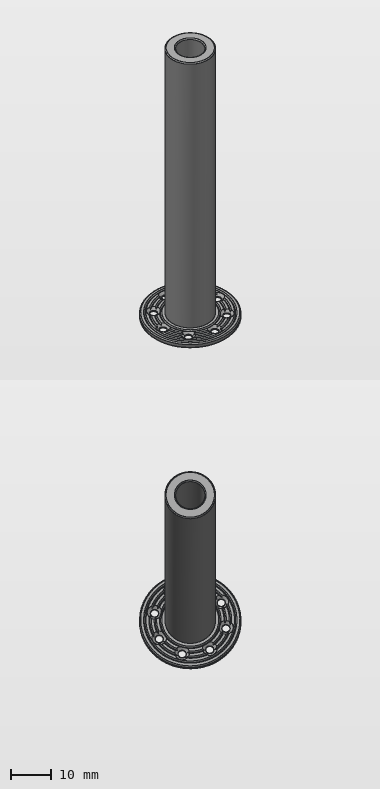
import cadquery as cq
import math

total_height = 84.38
flange_diameter = 25.0
flange_thickness = 1.56
tube_diameter = 12.5
bore_diameter = 7.2

tube_top_chamfer = 0.3
bore_chamfer = 0.3

groove_count = 4
groove_width = 0.6
groove_depth = 0.35
groove_pitch = 1.3

hole_count = 8
hole_diameter = 2.0
countersink_diameter = 3.6
countersink_depth = 0.6
hole_circle_radius = 9.02

flange_radius = flange_diameter / 2
tube_radius = tube_diameter / 2
bore_radius = bore_diameter / 2


def revolve_about_z(profile):
    """Solid of revolution from a closed list of (radius, height) points."""
    return cq.Workplane("XZ").polyline(profile).close().revolve(360, (0, 0), (0, 1))


def make_flange():
    """Round base plate whose rim bevels match the groove walls."""
    face_radius = flange_radius - groove_width / 2
    profile = [
        (0, 0),
        (face_radius, 0),
        (flange_radius, groove_depth),
        (flange_radius, flange_thickness - groove_depth),
        (face_radius, flange_thickness),
        (0, flange_thickness),
    ]
    return revolve_about_z(profile)


def make_tube():
    """Upright post with a chamfered upper edge."""
    post = cq.Workplane("XY").circle(tube_radius).extrude(total_height)
    return post.faces(">Z").chamfer(tube_top_chamfer)


def make_bore():
    """Through bore, widening in a chamfer at the top."""
    profile = [
        (0, 0),
        (bore_radius, 0),
        (bore_radius, total_height - bore_chamfer),
        (bore_radius + bore_chamfer, total_height),
        (0, total_height),
    ]
    return revolve_about_z(profile)


def make_groove(radius):
    """V-section ring sunk into the upper flange face."""
    profile = [
        (radius - groove_width / 2, flange_thickness),
        (radius, flange_thickness - groove_depth),
        (radius + groove_width / 2, flange_thickness),
    ]
    return revolve_about_z(profile)


def drill_holes(body):
    """Ring of through holes around the post, countersunk on both faces."""
    hole_radius = hole_diameter / 2
    sink_radius = countersink_diameter / 2
    profile = [
        (0, 0),
        (sink_radius, 0),
        (hole_radius, countersink_depth),
        (hole_radius, flange_thickness - countersink_depth),
        (sink_radius, flange_thickness),
        (0, flange_thickness),
    ]
    cutter = revolve_about_z(profile)
    for index in range(hole_count):
        angle = 2 * math.pi * index / hole_count
        position = (hole_circle_radius * math.cos(angle), hole_circle_radius * math.sin(angle), 0)
        body = body.cut(cutter.translate(position))
    return body


body = make_flange().union(make_tube()).cut(make_bore())
for step in range(1, groove_count + 1):
    body = body.cut(make_groove(flange_radius - step * groove_pitch))
result = drill_holes(body)